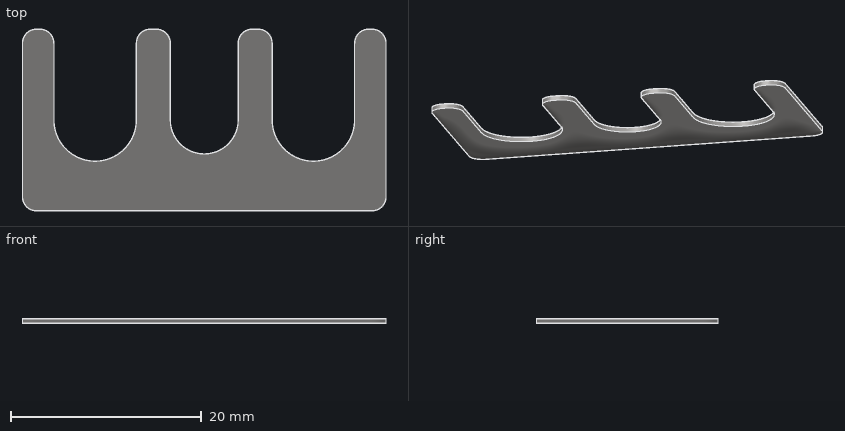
import cadquery as cq

length = 38.1
width = 19.05
thickness = 0.5
corner_radius = 1.5

outer_slot_width = 8.6
middle_slot_width = 7.1
slot_spacing = 11.43
slot_arc_y = 0.0


def slot_cutter(center_x, slot_width):
    """Solid that cuts a slot from its round bottom out through the +Y edge."""
    radius = slot_width / 2
    open_y = width / 2
    return (
        cq.Workplane("XY")
        .moveTo(center_x - radius, open_y)
        .lineTo(center_x - radius, slot_arc_y)
        .threePointArc((center_x, slot_arc_y - radius), (center_x + radius, slot_arc_y))
        .lineTo(center_x + radius, open_y)
        .close()
        .extrude(thickness)
    )


plate = cq.Workplane("XY").box(length, width, thickness, centered=(True, True, False))

slots = [
    (-slot_spacing, outer_slot_width),
    (0.0, middle_slot_width),
    (slot_spacing, outer_slot_width),
]
for center_x, slot_width in slots:
    plate = plate.cut(slot_cutter(center_x, slot_width))

tip_edges = plate.faces(">Y").edges("|Z")
back_edges = plate.faces("<Y").edges("|Z")
result = plate.newObject(tip_edges.vals() + back_edges.vals()).fillet(corner_radius)